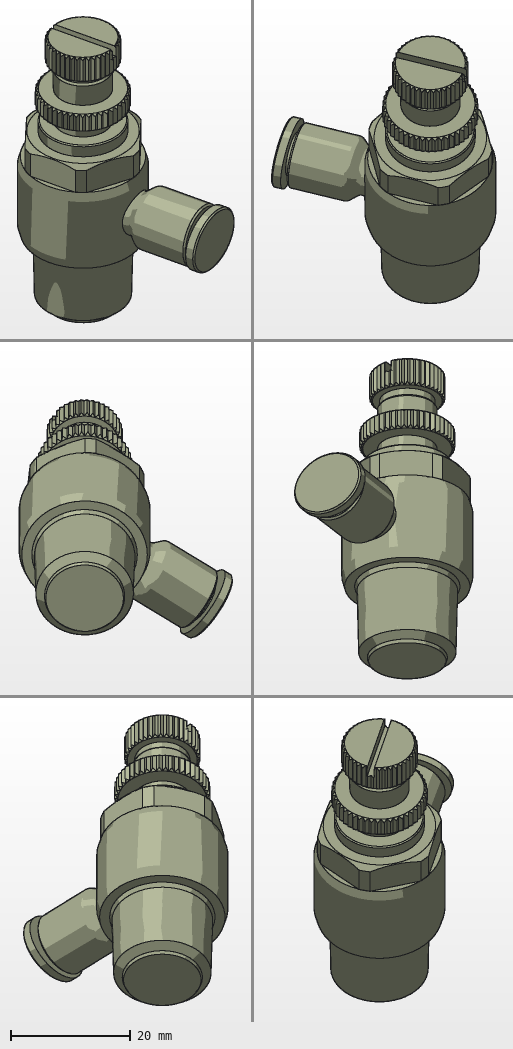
import cadquery as cq
import math

Z_PLUG_NOSE = 0.6
Z_THREAD_START = 1.6
Z_THREAD_END = 13.3
Z_BODY_BOTTOM = 14.1
Z_BODY_WALL_START = 15.9
Z_BODY_WALL_END = 28.0
Z_BODY_TOP = 29.7
Z_HEX_TOP = 34.9
Z_FLANGE_TOP = 37.2
Z_NUT_BOTTOM = 40.15
Z_NUT_TOP = 43.7
Z_STEM_SHOULDER = 47.65
Z_NECK_START = 48.0
Z_KNOB_BOTTOM = 49.2
Z_TOP = 54.2

PLUG_NOSE_RADIUS = 6.5
PLUG_CHAMFER_RADIUS = 6.7
THREAD_SMALL_RADIUS = 8.2
THREAD_LARGE_RADIUS = 8.45
COLLAR_RADIUS = 8.85
BODY_RADIUS = 11.0
BODY_END_RADIUS = 10.5
FLANGE_RADIUS = 7.55
FLANGE_CHAMFER = 0.2
STEM_RADIUS = 5.0
STEM_NECK_RADIUS = 4.65

HEX_ACROSS_FLATS = 19.2
HEX_CORNER_RADIUS = 10.55
HEX_TOP_RADIUS = 9.45
HEX_CHAMFER_ANGLE = 30

NUT_RADIUS = 8.0
NUT_ROOT_RADIUS = 7.5
NUT_TEETH = 46
KNOB_RADIUS = 6.35
KNOB_ROOT_RADIUS = 5.85
KNOB_TEETH = 40
KNURL_CHAMFER_HEIGHT = 0.45
SLOT_WIDTH = 1.2
SLOT_DEPTH = 2.0

BRANCH_Z = 22.05
BRANCH_NECK_RADIUS = 4.0
BRANCH_RADIUS = 5.65
X_BRANCH_CONE_START = 11.5
X_BRANCH_CONE_END = 13.4
X_BRANCH_END = 23.5
BRANCH_CONE_FILLET = 1.0
BRANCH_END_CHAMFER = 0.3
COLLET_RADIUS = 3.75
X_RING_START = 24.3
X_RING_END = 25.95
RING_HALF_WIDTH = 6.5
RING_HALF_HEIGHT = 5.55
RING_CHAMFER = 0.25


def revolve_about_z(profile):
    """Revolve (radius, height) points, closed along the main axis."""
    points = [(0, profile[0][1])] + profile + [(0, profile[-1][1])]
    return cq.Workplane("XZ").polyline(points).close().revolve(360, (0, 0), (0, 1))


def make_core():
    """Threaded plug, body, flange and stem as one stepped turning."""
    return revolve_about_z([
        (PLUG_NOSE_RADIUS, 0),
        (PLUG_CHAMFER_RADIUS, Z_PLUG_NOSE),
        (THREAD_SMALL_RADIUS, Z_THREAD_START),
        (THREAD_LARGE_RADIUS, Z_THREAD_END),
        (COLLAR_RADIUS, Z_BODY_BOTTOM),
        (BODY_END_RADIUS, Z_BODY_BOTTOM),
        (BODY_RADIUS, Z_BODY_WALL_START),
        (BODY_RADIUS, Z_BODY_WALL_END),
        (BODY_END_RADIUS, Z_BODY_TOP),
        (FLANGE_RADIUS, Z_BODY_TOP),
        (FLANGE_RADIUS, Z_FLANGE_TOP - FLANGE_CHAMFER),
        (FLANGE_RADIUS - FLANGE_CHAMFER, Z_FLANGE_TOP),
        (STEM_RADIUS, Z_FLANGE_TOP),
        (STEM_RADIUS, Z_STEM_SHOULDER),
        (STEM_NECK_RADIUS, Z_NECK_START),
        (STEM_NECK_RADIUS, Z_KNOB_BOTTOM),
    ])


def make_hexagon():
    """Hexagon with flats facing +Y and -Y, trimmed by a chamfered turning."""
    sharp_corner_radius = HEX_ACROSS_FLATS / math.sqrt(3)
    corners = []
    for i in range(6):
        angle = math.radians(60 * i)
        corners.append((sharp_corner_radius * math.cos(angle), sharp_corner_radius * math.sin(angle)))
    prism = (
        cq.Workplane("XY")
        .workplane(offset=Z_BODY_TOP)
        .polyline(corners)
        .close()
        .extrude(Z_HEX_TOP - Z_BODY_TOP)
    )
    chamfer_drop = (HEX_CORNER_RADIUS - HEX_TOP_RADIUS) * math.tan(math.radians(HEX_CHAMFER_ANGLE))
    envelope = revolve_about_z([
        (HEX_CORNER_RADIUS, Z_BODY_TOP),
        (HEX_CORNER_RADIUS, Z_HEX_TOP - chamfer_drop),
        (HEX_TOP_RADIUS, Z_HEX_TOP),
    ])
    return prism.intersect(envelope)


def make_knurled_disc(radius, root_radius, teeth, z_bottom, z_top):
    """Disc with V-shaped teeth and chamfered rims; a tooth gap faces +X."""
    half_pitch = math.pi / teeth
    outline = []
    for i in range(2 * teeth):
        angle = i * half_pitch
        r = root_radius if i % 2 == 0 else radius
        outline.append((r * math.cos(angle), r * math.sin(angle)))
    disc = (
        cq.Workplane("XY")
        .workplane(offset=z_bottom)
        .polyline(outline)
        .close()
        .extrude(z_top - z_bottom)
    )
    envelope = revolve_about_z([
        (root_radius, z_bottom),
        (radius, z_bottom + KNURL_CHAMFER_HEIGHT),
        (radius, z_top - KNURL_CHAMFER_HEIGHT),
        (root_radius, z_top),
    ])
    return disc.intersect(envelope)


def make_knob():
    """Knurled knob with a screwdriver slot along X."""
    knob = make_knurled_disc(KNOB_RADIUS, KNOB_ROOT_RADIUS, KNOB_TEETH, Z_KNOB_BOTTOM, Z_TOP)
    slot = cq.Workplane("XY").box(
        2 * KNOB_RADIUS, SLOT_WIDTH, SLOT_DEPTH, centered=(True, True, False)
    )
    return knob.cut(slot.translate((0, 0, Z_TOP - SLOT_DEPTH)))


def make_branch():
    """Turned side branch with a blended cone, from the main axis to the collet."""
    profile = [
        (0, 0),
        (0, BRANCH_NECK_RADIUS),
        (X_BRANCH_CONE_START, BRANCH_NECK_RADIUS),
        (X_BRANCH_CONE_END, BRANCH_RADIUS),
        (X_BRANCH_END - BRANCH_END_CHAMFER, BRANCH_RADIUS),
        (X_BRANCH_END, BRANCH_RADIUS - BRANCH_END_CHAMFER),
        (X_BRANCH_END, COLLET_RADIUS),
        (X_RING_START, COLLET_RADIUS),
        (X_RING_START, 0),
    ]
    branch = cq.Workplane("XZ").polyline(profile).close().revolve(360, (0, 0), (1, 0))
    for x in (X_BRANCH_CONE_START, X_BRANCH_CONE_END):
        cone_edge = cq.selectors.NearestToPointSelector((x, 0, 0))
        branch = branch.edges(cone_edge).fillet(BRANCH_CONE_FILLET)
    return branch.translate((0, 0, BRANCH_Z))


def make_release_ring():
    """Oval release ring, chamfered on its outer end."""
    return (
        cq.Workplane("YZ", origin=(X_RING_START, 0, BRANCH_Z))
        .ellipse(RING_HALF_WIDTH, RING_HALF_HEIGHT)
        .extrude(X_RING_END - X_RING_START)
        .faces(">X")
        .chamfer(RING_CHAMFER)
    )


lock_nut = make_knurled_disc(NUT_RADIUS, NUT_ROOT_RADIUS, NUT_TEETH, Z_NUT_BOTTOM, Z_NUT_TOP)

result = (
    make_core()
    .union(make_hexagon())
    .union(lock_nut)
    .union(make_knob())
    .union(make_branch())
    .union(make_release_ring())
)